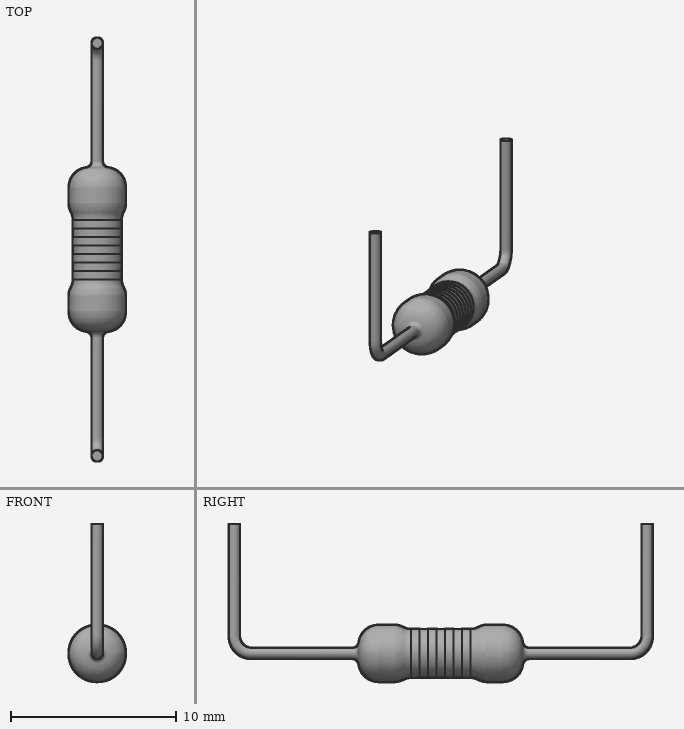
import cadquery as cq
import math


body_length = 10.0
end_cap_radius = 3.5 / 2
dome_radius = 1.25
cap_inner_end = 2.8

band_radius = 3.0 / 2
gap_radius = 2.98 / 2
band_count = 4
waist_length = 3.6
stripe_width = waist_length / (2 * band_count - 1)

lead_radius = 0.7 / 2
lead_spacing = 25.0
bend_radius = 1.05
lead_top = 7.85
collar_radius = 0.35

dome_center_y = body_length / 2 - dome_radius
dome_center_r = end_cap_radius - dome_radius
collar_center_r = lead_radius + collar_radius
collar_rise = collar_center_r - dome_center_r
center_distance = dome_radius + collar_radius
collar_center_y = dome_center_y + math.sqrt(center_distance**2 - collar_rise**2)
collar_angle = math.asin(collar_rise / center_distance)


def arc_point(center_r, center_y, radius, angle):
    """Point (r, y) on a circle, with the angle measured from the +Y direction."""
    return (center_r + radius * math.sin(angle), center_y + radius * math.cos(angle))


def make_body_end():
    """Solid of revolution on the +Y side, from the end of the waist to the collar."""
    waist_end = waist_length / 2
    shoulder_middle = ((gap_radius + end_cap_radius) / 2, (waist_end + cap_inner_end) / 2)
    dome_mid_angle = (math.pi / 2 + collar_angle) / 2
    dome_mid = arc_point(dome_center_r, dome_center_y, dome_radius, dome_mid_angle)
    dome_end = arc_point(dome_center_r, dome_center_y, dome_radius, collar_angle)
    collar_mid_angle = (math.pi + collar_angle + 3 * math.pi / 2) / 2
    collar_mid = arc_point(collar_center_r, collar_center_y, collar_radius, collar_mid_angle)
    profile = (
        cq.Workplane("XY")
        .moveTo(end_cap_radius, dome_center_y)
        .lineTo(end_cap_radius, cap_inner_end)
        .tangentArcPoint(shoulder_middle, relative=False)
        .tangentArcPoint((gap_radius, waist_end), relative=False)
        .lineTo(0, waist_end)
        .lineTo(0, collar_center_y)
        .lineTo(lead_radius, collar_center_y)
        .threePointArc(collar_mid, dome_end)
        .threePointArc(dome_mid, (end_cap_radius, dome_center_y))
        .close()
    )
    return profile.revolve(360, (0, 0), (0, 1))


def make_disc(radius, length, middle_y):
    """Cylinder along Y, centred on middle_y."""
    return cq.Workplane("XZ", origin=(0, middle_y + length / 2, 0)).circle(radius).extrude(length)


def make_waist():
    """Cylindrical waist with evenly spaced raised bands, one at each of its ends."""
    waist = make_disc(gap_radius, waist_length, 0)
    for band_index in range(band_count):
        steps_from_middle = band_index - (band_count - 1) / 2
        waist = waist.union(make_disc(band_radius, stripe_width, 2 * stripe_width * steps_from_middle))
    return waist


def make_lead():
    """Wire lead on the +Y side, from the collar through the bend to the tip."""
    leg_y = lead_spacing / 2
    bend_start_y = leg_y - bend_radius
    bend_mid_y = bend_start_y + bend_radius * math.sin(math.pi / 4)
    bend_mid_z = bend_radius * (1 - math.cos(math.pi / 4))
    path = (
        cq.Workplane("YZ")
        .moveTo(collar_center_y, 0)
        .lineTo(bend_start_y, 0)
        .threePointArc((bend_mid_y, bend_mid_z), (leg_y, bend_radius))
        .lineTo(leg_y, lead_top)
    )
    return cq.Workplane("XZ", origin=(0, collar_center_y, 0)).circle(lead_radius).sweep(path)


end_with_lead = make_body_end().union(make_lead())
result = make_waist().union(end_with_lead).union(end_with_lead.mirror("XZ"))